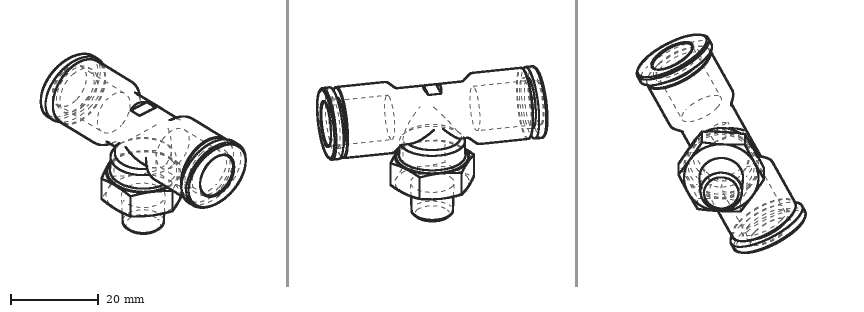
import cadquery as cq
import math

overall_length = 50.0
waist_radius = 6.5
waist_half_length = 7.95
sleeve_radius = 8.2
shoulder_angle = 40.0
shoulder_fillet = 1.0
sleeve_end = 21.8
sleeve_chamfer = 0.15
neck_radius = 5.85

ring_half_width = 9.25
ring_half_height = 8.0
ring_thickness = 2.05
ring_chamfer = 0.4
bore_radius = 5.1
bore_depth = 15.0
bore_chamfer = 0.2

recess_floor_z = 6.0
recess_floor_length = 3.0

collar_radius = 7.5
collar_cone_top = -6.2
collar_taper_top = -8.75
collar_base_radius = 7.6
collar_base = -10.85
flare_radius = 8.2

hex_across_flats = 17.0
hex_top = -11.3
hex_bottom = -17.8
hex_chamfer_angle = 20.0

stem_root_radius = 5.0
stem_tip_radius = 4.75
stem_bottom = -25.75
stem_chamfer = 0.8

half_length = overall_length / 2
hex_corner_radius = hex_across_flats / math.sqrt(3)


def make_run_body():
    """Waist, shoulders, sleeves and necks, revolved about X."""
    shoulder_rise = sleeve_radius - waist_radius
    shoulder_end = waist_half_length + shoulder_rise / math.tan(math.radians(shoulder_angle))
    sleeves = (
        cq.Workplane("XY")
        .moveTo(-sleeve_end, 0)
        .lineTo(-sleeve_end, sleeve_radius)
        .lineTo(-shoulder_end, sleeve_radius)
        .lineTo(-waist_half_length, waist_radius)
        .lineTo(waist_half_length, waist_radius)
        .lineTo(shoulder_end, sleeve_radius)
        .lineTo(sleeve_end, sleeve_radius)
        .lineTo(sleeve_end, 0)
        .close()
        .revolve(360, (0, 0, 0), (1, 0, 0))
    )
    mid_sleeve = (shoulder_end + sleeve_end) / 2
    shoulder_zone = cq.selectors.BoxSelector(
        (-mid_sleeve, -sleeve_radius, -sleeve_radius),
        (mid_sleeve, sleeve_radius, sleeve_radius),
    )
    sleeves = sleeves.edges("%CIRCLE").edges(shoulder_zone).fillet(shoulder_fillet)
    sleeves = sleeves.faces("<X or >X").edges().chamfer(sleeve_chamfer)
    neck_length = overall_length - ring_thickness
    neck = cq.Workplane("YZ").circle(neck_radius).extrude(neck_length / 2, both=True)
    return sleeves.union(neck)


def make_release_ring():
    """Oval ring on the +X end, bevelled on its outer rim."""
    return (
        cq.Workplane("YZ", origin=(half_length - ring_thickness, 0, 0))
        .ellipse(ring_half_width, ring_half_height)
        .extrude(ring_thickness)
        .faces(">X")
        .edges()
        .chamfer(ring_chamfer)
    )


def make_tube_bore():
    """Blind bore in the +X end, with a bevelled mouth."""
    mouth_radius = bore_radius + bore_chamfer
    return (
        cq.Workplane("XY")
        .moveTo(half_length, 0)
        .lineTo(half_length, mouth_radius)
        .lineTo(half_length - bore_chamfer, bore_radius)
        .lineTo(half_length - bore_depth, bore_radius)
        .lineTo(half_length - bore_depth, 0)
        .close()
        .revolve(360, (0, 0, 0), (1, 0, 0))
    )


def make_recess():
    """Flat-floored notch across the top of the waist, with 45-degree ends."""
    depth = waist_radius - recess_floor_z
    floor_half = recess_floor_length / 2
    top_half = floor_half + depth
    return (
        cq.Workplane("XZ")
        .polyline([
            (-floor_half, recess_floor_z),
            (floor_half, recess_floor_z),
            (top_half, waist_radius),
            (-top_half, waist_radius),
        ])
        .close()
        .extrude(waist_radius, both=True)
    )


def make_branch():
    """Neck, collar and taper stem, revolved about Z."""
    cone_bottom = collar_cone_top - (collar_radius - waist_radius)
    return (
        cq.Workplane("XZ")
        .moveTo(0, 0)
        .lineTo(waist_radius, 0)
        .lineTo(waist_radius, collar_cone_top)
        .lineTo(collar_radius, cone_bottom)
        .lineTo(collar_radius, collar_taper_top)
        .lineTo(collar_base_radius, collar_base)
        .lineTo(flare_radius, hex_top)
        .lineTo(stem_root_radius, hex_bottom)
        .lineTo(stem_tip_radius, stem_bottom + stem_chamfer)
        .lineTo(stem_tip_radius - stem_chamfer, stem_bottom)
        .lineTo(0, stem_bottom)
        .close()
        .revolve(360, (0, 0, 0), (0, 1, 0))
    )


def make_hex():
    """Hexagon with two corners on X, its corners bevelled top and bottom."""
    flat_radius = hex_across_flats / 2
    bevel_drop = (hex_corner_radius - flat_radius) * math.tan(math.radians(hex_chamfer_angle))
    prism = (
        cq.Workplane("XY", origin=(0, 0, hex_bottom))
        .polygon(6, 2 * hex_corner_radius)
        .extrude(hex_top - hex_bottom)
    )
    bevel_envelope = (
        cq.Workplane("XZ")
        .moveTo(0, hex_top)
        .lineTo(flat_radius, hex_top)
        .lineTo(hex_corner_radius, hex_top - bevel_drop)
        .lineTo(hex_corner_radius, hex_bottom + bevel_drop)
        .lineTo(flat_radius, hex_bottom)
        .lineTo(0, hex_bottom)
        .close()
        .revolve(360, (0, 0, 0), (0, 1, 0))
    )
    return prism.intersect(bevel_envelope)


release_ring = make_release_ring()
tube_bore = make_tube_bore()

result = make_run_body().cut(make_recess()).union(make_branch()).union(make_hex())
for ring in (release_ring, release_ring.mirror("YZ")):
    result = result.union(ring)
for bore in (tube_bore, tube_bore.mirror("YZ")):
    result = result.cut(bore)